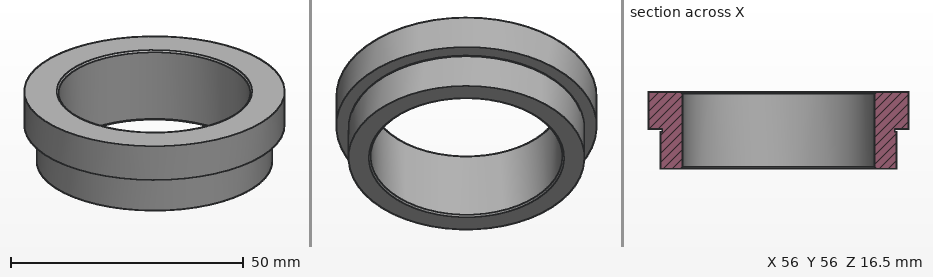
import cadquery as cq

flange_diameter = 56.0
spigot_diameter = 50.75
relief_diameter = 50.05
bore_diameter = 41.2
flange_height = 8.0
total_height = 16.5
relief_height = 0.5
bore_chamfer = 0.4

flange_bottom = total_height - flange_height
spigot_top = flange_bottom - relief_height


def disc(diameter, bottom, top):
    """Solid cylinder about Z spanning the given heights."""
    return cq.Workplane("XY").workplane(offset=bottom).circle(diameter / 2).extrude(top - bottom)


spigot = disc(spigot_diameter, 0, spigot_top)
relief_neck = disc(relief_diameter, spigot_top, flange_bottom)
flange = disc(flange_diameter, flange_bottom, total_height)
body = spigot.union(relief_neck).union(flange)

ring = body.cut(disc(bore_diameter, 0, total_height))
bore_rims = cq.selectors.RadiusNthSelector(0)
result = ring.edges(bore_rims).chamfer(bore_chamfer)